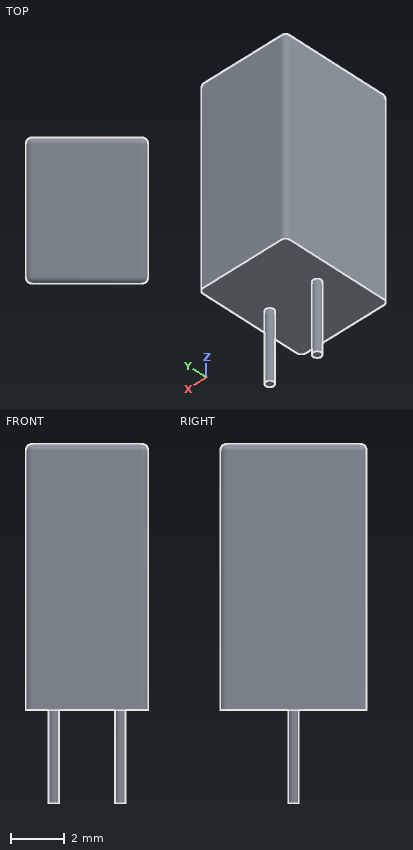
import cadquery as cq

case_width = 4.6
case_depth = 5.5
case_height = 10.0
edge_radius = 0.25

lead_diameter = 0.4
lead_length = 3.5
lead_pitch = 2.5


def make_case():
    """Block with rounded upright and top edges and a sharp bottom rim."""
    block = cq.Workplane("XY").box(case_width, case_depth, case_height, centered=(True, True, False))
    return block.edges("|Z or >Z").fillet(edge_radius)


def make_lead(x):
    """Round wire hanging from the underside of the case at the given X."""
    return cq.Workplane("XY").center(x, 0).circle(lead_diameter / 2).extrude(-lead_length)


case = make_case()
leads = [make_lead(side * lead_pitch / 2) for side in (-1, 1)]

result = cq.Compound.makeCompound([case.val(), *[lead.val() for lead in leads]])